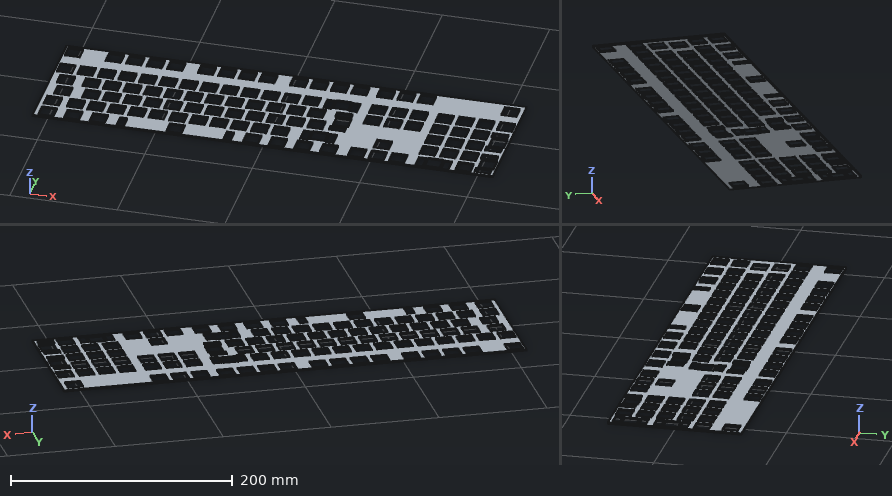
import cadquery as cq

LENGTH = 428.5
THICKNESS = 1.55
GRID_COLUMNS = 90
GRID_ROWS = 26
STEP = LENGTH / GRID_COLUMNS
WIDTH = GRID_ROWS * STEP

SWITCH_MARGIN = 2.55
STABILIZER_WIDTH = 7.0
STABILIZER_LENGTH = 14.5
STABILIZER_OFFSET = 1.5
STABILIZER_REACH = 12.0
SPACE_BAR_REACH = 49.7
CORNER_INSET = 12.0

KEY = 4
TAB = 6
CAPS_LOCK = 7
MODIFIER = 5
DOUBLE = 8
RIGHT_SHIFT = 11
SPACE_BAR = 25

SWITCH_SIZE = KEY * STEP - 2 * SWITCH_MARGIN

FUNCTION_STARTS = (8, 26, 44)
ISO_ENTER_START = 55
NAVIGATION_START = 61
NUMPAD_START = 74
NUMPAD_LAST_COLUMN = NUMPAD_START + 3 * KEY

FUNCTION_ROW = 0
NUMBER_ROW = 6
TAB_ROW = 10
HOME_ROW = 14
SHIFT_ROW = 18
SPACE_ROW = 22

KEY_RUNS = [
    (FUNCTION_ROW, 0, [KEY]),
    (NUMBER_ROW, 0, [KEY] * 13 + [DOUBLE]),
    (TAB_ROW, 0, [TAB] + [KEY] * 12),
    (HOME_ROW, 0, [CAPS_LOCK] + [KEY] * 12),
    (SHIFT_ROW, 0, [MODIFIER] + [KEY] * 11 + [RIGHT_SHIFT]),
    (SPACE_ROW, 0, [MODIFIER] * 3 + [SPACE_BAR] + [MODIFIER] * 4),
    (SHIFT_ROW, NAVIGATION_START + KEY, [KEY]),
    (NUMBER_ROW, NUMPAD_START, [KEY] * 4),
    (SPACE_ROW, NUMPAD_START, [DOUBLE, KEY]),
]
KEY_RUNS += [(FUNCTION_ROW, start, [KEY] * 4) for start in FUNCTION_STARTS]
KEY_RUNS += [
    (row, NAVIGATION_START, [KEY] * 3)
    for row in (FUNCTION_ROW, NUMBER_ROW, TAB_ROW, SPACE_ROW)
]
KEY_RUNS += [(row, NUMPAD_START, [KEY] * 3) for row in (TAB_ROW, HOME_ROW, SHIFT_ROW)]

TALL_KEYS = [
    (TAB_ROW, ISO_ENTER_START, MODIFIER),
    (TAB_ROW, NUMPAD_LAST_COLUMN, KEY),
    (SHIFT_ROW, NUMPAD_LAST_COLUMN, KEY),
]


def grid_point(column, row):
    """Plate coordinates of a grid position."""
    return column * STEP - LENGTH / 2, WIDTH / 2 - row * STEP


def cutout(x, y, size_x, size_y):
    """Through-cutter centred on x, y."""
    return cq.Workplane("XY").box(size_x, size_y, 2 * THICKNESS).translate((x, y, 0))


def switch(x, y):
    """Square switch cutter."""
    return cutout(x, y, SWITCH_SIZE, SWITCH_SIZE)


def wide_stabilizers(x, y, reach):
    """Slots left and right of a wide key's switch."""
    return [
        cutout(x + side * reach, y - STABILIZER_OFFSET, STABILIZER_WIDTH, STABILIZER_LENGTH)
        for side in (-1, 1)
    ]


def tall_stabilizers(x, y):
    """Slots above and below a tall key's switch."""
    return [
        cutout(x - STABILIZER_OFFSET, y + side * STABILIZER_REACH, STABILIZER_LENGTH, STABILIZER_WIDTH)
        for side in (-1, 1)
    ]


def key_run_cutouts(row, left, widths):
    """Cutters for caps placed side by side, with slots under the wide ones."""
    cutouts = []
    for width in widths:
        x, y = grid_point(left + width / 2, row + KEY / 2)
        reach = SPACE_BAR_REACH if width == SPACE_BAR else STABILIZER_REACH
        cutouts.append(switch(x, y))
        if width >= DOUBLE:
            cutouts += wide_stabilizers(x, y, reach)
        left += width
    return cutouts


def tall_key_cutouts(row, left, width):
    """Cutters for a key two rows tall."""
    x, y = grid_point(left + width / 2, row + KEY)
    return [switch(x, y)] + tall_stabilizers(x, y)


cutters = [switch(LENGTH / 2 - CORNER_INSET, WIDTH / 2 - CORNER_INSET)]
for run in KEY_RUNS:
    cutters += key_run_cutouts(*run)
for tall_key in TALL_KEYS:
    cutters += tall_key_cutouts(*tall_key)

plate = cq.Workplane("XY").box(LENGTH, WIDTH, THICKNESS)
result = cq.Workplane(plate.val().cut(*[cutter.val() for cutter in cutters]))